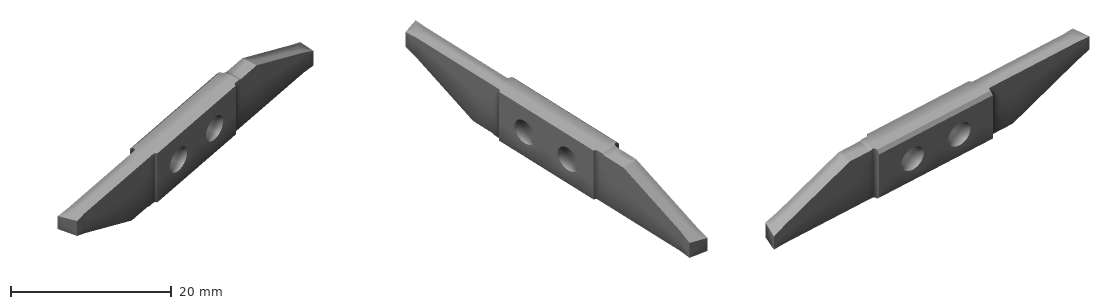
import cadquery as cq
import math

LENGTH = 50.5
THICKNESS = 3.6
HEIGHT = 8.0

BLADE_FRONT = 0.95
BLADE_BACK = 3.25
TIP_BACK = 3.4
TIP_FRONT = 0.85
TIP_FRONT_TAPER = 1.85
TIP_BACK_TAPER = 2.4
END_ANGLE = 15.0
FRONT_BODY_HALF = 9.1
BACK_BODY_HALF = 8.2
SHOULDER_RADIUS = 0.35

SLOPE_ANGLE = 25.0
TIP_HEIGHT = 2.1
STEP_DEPTH = 0.15
STEP_START = 9.4
STEP_RADIUS = 0.75

BODY_CHAMFER = 0.45
HOLE_DIAMETER = 3.6
HOLE_SPACING = 7.45

HALF_LENGTH = LENGTH / 2
HALF_HEIGHT = HEIGHT / 2
ARC_MID = 1 - math.sqrt(0.5)


def plan_prism():
    """Half of the plan outline (+Y) extruded to full height and mirrored."""
    end_back = HALF_LENGTH - (TIP_BACK - TIP_FRONT) * math.tan(math.radians(END_ANGLE))
    r = SHOULDER_RADIUS
    back_r = THICKNESS - BLADE_BACK
    half = (
        cq.Workplane("XY")
        .moveTo(0, 0)
        .lineTo(0, FRONT_BODY_HALF)
        .lineTo(BLADE_FRONT - r, FRONT_BODY_HALF)
        .threePointArc(
            (BLADE_FRONT - r * ARC_MID, FRONT_BODY_HALF + r * ARC_MID),
            (BLADE_FRONT, FRONT_BODY_HALF + r),
        )
        .lineTo(BLADE_FRONT, HALF_LENGTH - TIP_FRONT_TAPER)
        .lineTo(TIP_FRONT, HALF_LENGTH)
        .lineTo(TIP_BACK, end_back)
        .lineTo(BLADE_BACK, HALF_LENGTH - TIP_BACK_TAPER)
        .lineTo(BLADE_BACK, BACK_BODY_HALF + back_r)
        .threePointArc(
            (BLADE_BACK + back_r * ARC_MID, BACK_BODY_HALF + back_r * ARC_MID),
            (THICKNESS, BACK_BODY_HALF),
        )
        .lineTo(THICKNESS, 0)
        .close()
        .extrude(HALF_HEIGHT, both=True)
    )
    return half.union(half.mirror("XZ"))


def blade_relief():
    """Material removed above the +Y blade: the step, then the sloping edge."""
    blade_top = HALF_HEIGHT - STEP_DEPTH
    tip_top = TIP_HEIGHT - HALF_HEIGHT
    slope_start = HALF_LENGTH - (blade_top - tip_top) / math.tan(math.radians(SLOPE_ANGLE))
    arc_angle = math.acos(1 - STEP_DEPTH / STEP_RADIUS)
    step_end = STEP_START + STEP_RADIUS * math.sin(arc_angle)
    arc_mid = (
        step_end - STEP_RADIUS * math.sin(arc_angle / 2),
        blade_top + STEP_RADIUS * (1 - math.cos(arc_angle / 2)),
    )
    return (
        cq.Workplane("YZ")
        .moveTo(STEP_START, HALF_HEIGHT)
        .threePointArc(arc_mid, (step_end, blade_top))
        .lineTo(slope_start, blade_top)
        .lineTo(HALF_LENGTH, tip_top)
        .lineTo(HALF_LENGTH, HALF_HEIGHT)
        .close()
        .extrude(THICKNESS)
    )


def mounting_holes():
    """Two through holes along the body."""
    return (
        cq.Workplane("YZ")
        .pushPoints([(-HOLE_SPACING / 2, 0), (HOLE_SPACING / 2, 0)])
        .circle(HOLE_DIAMETER / 2)
        .extrude(THICKNESS)
    )


part = plan_prism().faces("<X").edges("|Y").chamfer(BODY_CHAMFER)

relief = blade_relief()
for turn in (0, 180):
    part = part.cut(relief.rotate((0, 0, 0), (1, 0, 0), turn))

result = part.cut(mounting_holes())